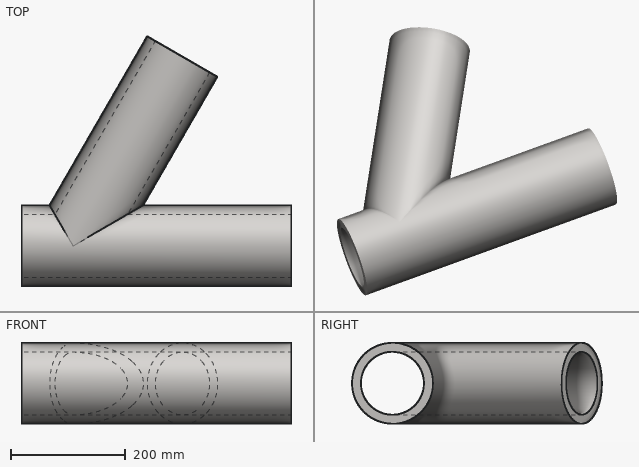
import cadquery as cq
import math

run_length = 470.0
outer_diameter = 141.5
bore_diameter = 109.5
branch_angle = math.radians(60)
branch_length = 381.0
junction_x = 89.5

run_plane = cq.Plane.YZ()
branch_plane = cq.Plane(
    origin=(junction_x, 0, 0),
    xDir=(0, 0, 1),
    normal=(math.cos(branch_angle), math.sin(branch_angle), 0),
)


def wye(diameter):
    """Solid run and branch cylinders of one diameter, joined where their axes meet."""
    run = cq.Workplane(run_plane).circle(diameter / 2).extrude(run_length)
    branch = cq.Workplane(branch_plane).circle(diameter / 2).extrude(branch_length)
    return run.union(branch)


result = wye(outer_diameter).cut(wye(bore_diameter))